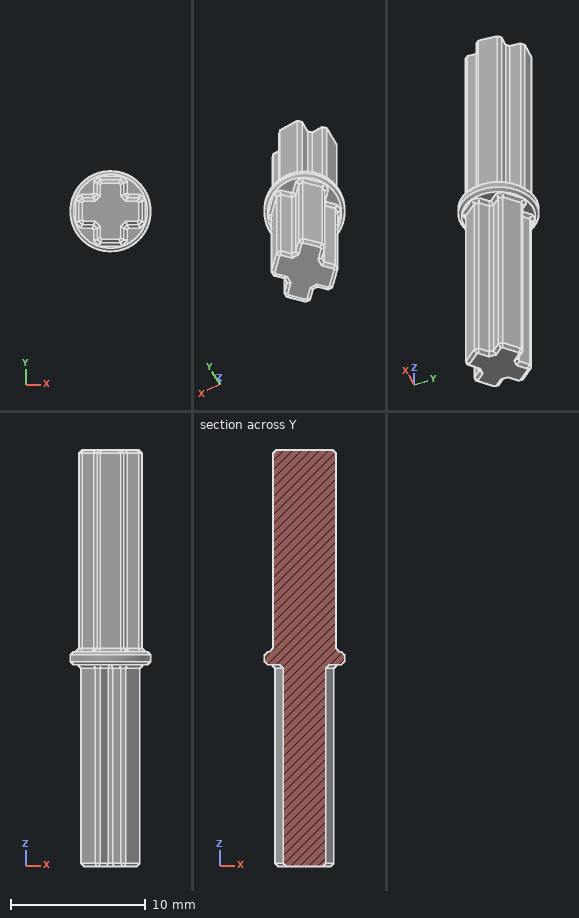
import cadquery as cq

total_length = 31.0
collar_diameter = 6.0
collar_height = 1.0

arm_reach = 2.35
arm_width = 2.0

bevel = 0.25
flare_angle = 45

lower_turn = 45

half_length = total_length / 2
half_collar = collar_height / 2


def cross_outline():
    """Closed cross outline: four arms with beveled outer and inner corners."""
    half_width = arm_width / 2
    root = half_width + bevel
    shoulder = arm_reach - bevel
    face_half_width = half_width - bevel
    arm = (
        (root, -half_width),
        (shoulder, -half_width),
        (arm_reach, -face_half_width),
        (arm_reach, face_half_width),
        (shoulder, half_width),
        (root, half_width),
    )
    points = []
    for along_x, along_y in ((1, 0), (0, 1), (-1, 0), (0, -1)):
        for out, side in arm:
            points.append((out * along_x - side * along_y, out * along_y + side * along_x))
    return points


def make_root_flare():
    """Flare that widens from the plain cross section down to the collar's face."""
    flare_top = half_collar + bevel
    section = cq.Workplane("XY").workplane(offset=-flare_top, invert=True)
    return section.polyline(cross_outline()).close().extrude(bevel, taper=-flare_angle)


def make_shaft():
    """Upright cross shaft from the collar's mid plane to its beveled tip."""
    shaft = cq.Workplane("XY").polyline(cross_outline()).close().extrude(half_length)
    shaft = shaft.faces(">Z").chamfer(bevel)
    return shaft.union(make_root_flare())


def make_collar():
    """Round collar centered on the origin, beveled on both rims."""
    collar = cq.Workplane("XY").cylinder(collar_height, collar_diameter / 2)
    return collar.edges("%CIRCLE").chamfer(bevel)


upper_shaft = make_shaft()
flipped_shaft = upper_shaft.rotate((0, 0, 0), (1, 0, 0), 180)
lower_shaft = flipped_shaft.rotate((0, 0, 0), (0, 0, 1), lower_turn)

result = make_collar().union(upper_shaft).union(lower_shaft)